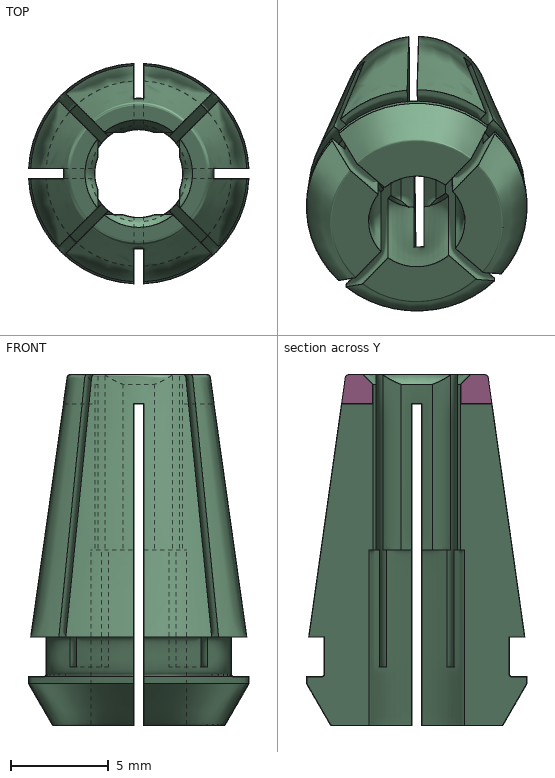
import cadquery as cq
import math

length = 18.0

flange_radius = 5.65
flange_bottom = 2.16
flange_top = 2.52
nose_half_angle = math.radians(30)
nose_fillet = 0.1

neck_radius = 4.75
neck_fillet = 0.1

taper_bottom = 4.54
taper_radius = 5.55
taper_half_angle = math.radians(8)
top_fillet = 0.2

shank_radius = 2.47
square_width = 4.2
relief_radius = 2.25
square_depth = 9.0
mouth_radius = 2.75
mouth_depth = mouth_radius - relief_radius

slot_width = 0.5
lower_slot_top = 16.49
upper_slot_bottom = 3.0
slots_per_end = 4
slot_pitch = 360 / slots_per_end

nose_radius = flange_radius - flange_bottom * math.tan(nose_half_angle)
top_radius = taper_radius - (length - taper_bottom) * math.tan(taper_half_angle)


def make_body():
    """Turned outer shape, revolved about Z, with its end edges rounded."""
    body = (
        cq.Workplane("XZ")
        .moveTo(0, 0)
        .lineTo(nose_radius, 0)
        .lineTo(flange_radius, flange_bottom)
        .lineTo(flange_radius, flange_top)
        .lineTo(neck_radius + neck_fillet, flange_top)
        .radiusArc((neck_radius, flange_top + neck_fillet), neck_fillet)
        .lineTo(neck_radius, taper_bottom)
        .lineTo(taper_radius, taper_bottom)
        .lineTo(top_radius, length)
        .lineTo(0, length)
        .close()
        .revolve(360, (0, 0, 0), (0, 1, 0))
    )
    body = body.faces("<Z").edges().fillet(nose_fillet)
    return body.faces(">Z").edges().fillet(top_fillet)


def make_bore():
    """Round shank bore, square drive with its relief, and the conical mouth."""
    square_bottom = length - square_depth
    shank = cq.Workplane("XY").circle(shank_radius).extrude(square_bottom)
    drive = cq.Workplane("XY").workplane(offset=square_bottom)
    square = drive.rect(square_width, square_width).extrude(square_depth)
    relief = drive.circle(relief_radius).extrude(square_depth)
    mouth_base = cq.Vector(0, 0, length - mouth_depth)
    mouth = cq.Solid.makeCone(relief_radius, mouth_radius, mouth_depth, mouth_base)
    return shank.union(square).union(relief).union(cq.Workplane(mouth))


def cut_slots(body, bottom, top, first_angle):
    """Cut evenly spaced radial slots between two heights."""
    for index in range(slots_per_end):
        slot = (
            cq.Workplane("XY")
            .workplane(offset=bottom)
            .center(flange_radius, 0)
            .rect(2 * flange_radius, slot_width)
            .extrude(top - bottom)
            .rotate((0, 0, 0), (0, 0, 1), first_angle + index * slot_pitch)
        )
        body = body.cut(slot)
    return body


result = make_body().cut(make_bore())

result = cut_slots(result, 0, lower_slot_top, 0)
result = cut_slots(result, upper_slot_bottom, length, slot_pitch / 2)